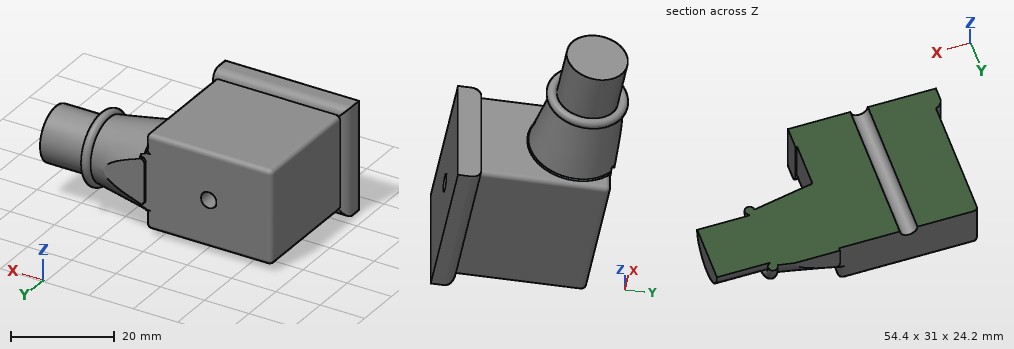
import cadquery as cq
import math

plate_length = 30.2
plate_width = 24.2
plate_thickness = 4.6
plate_edge_radius = 2.0

housing_left = 1.5
housing_right = 29.85
housing_width = 21.0
housing_back = 30.0
housing_edge_radius = 1.0
housing_center_x = (housing_left + housing_right) / 2

screw_hole_diameter = 3.5

outlet_axis_y = 23.0
outlet_end = 54.4
skirt_radius = 9.4
tube_radius = 6.0
bead_radius = 1.0
neck_start = plate_length
neck_start_radius = 9.2
neck_end_radius = tube_radius + bead_radius
bead_left = 42.35
bead_right = bead_left + 2 * bead_radius
bead_center_x = bead_left + bead_radius
full_turn = 360
outlet_root = housing_right - housing_edge_radius

flat_height = 7.6
flat_y = outlet_axis_y + flat_height
flat_half_width = math.sqrt(neck_start_radius**2 - flat_height**2)
flat_corner_radius = 1.1
cutter_height = 5.0


def box_between(x_range, y_range, width):
    """Box spanning the given X and Y ranges, centred on Z = 0."""
    x_size = x_range[1] - x_range[0]
    y_size = y_range[1] - y_range[0]
    box = cq.Workplane("XY").box(x_size, y_size, width, centered=(False, False, True))
    return box.translate((x_range[0], y_range[0], 0))


def make_plate():
    """Plate whose inner rim is rounded on every side but the outlet side."""
    plate = box_between((0, plate_length), (0, plate_thickness), plate_width)
    inner_rim = plate.faces(">Y").edges("<X or >Z or <Z")
    return inner_rim.fillet(plate_edge_radius)


def make_housing():
    """Block with rounded long edges and a rounded back rim."""
    housing = box_between((housing_left, housing_right), (0, housing_back), housing_width)
    return housing.edges("|Y or >Y").fillet(housing_edge_radius)


def make_outlet():
    """Tapered neck, ring bead tangent to the tube, and plain tube in one revolved profile."""
    profile = (
        cq.Workplane("XY")
        .moveTo(outlet_root, 0)
        .lineTo(outlet_root, skirt_radius)
        .lineTo(housing_right, skirt_radius)
        .lineTo(neck_start, neck_start_radius)
        .lineTo(bead_left, neck_end_radius)
        .radiusArc((bead_center_x, neck_end_radius + bead_radius), bead_radius)
        .threePointArc((bead_right, neck_end_radius), (bead_center_x, tube_radius))
        .lineTo(outlet_end, tube_radius)
        .lineTo(outlet_end, 0)
        .close()
    )
    outlet = profile.revolve(full_turn, (0, 0, 0), (1, 0, 0))
    return outlet.translate((0, outlet_axis_y, 0))


def make_flat_cutter():
    """Material above the flat, from the outlet root up to the bead."""
    return box_between((outlet_root, bead_left), (flat_y, flat_y + cutter_height), plate_width)


def make_flat_end_cutter():
    """Material behind the housing that lies outside the rounded end of the flat."""
    round_end = housing_right + flat_corner_radius
    y_range = (housing_back, flat_y + cutter_height)
    surround = box_between((outlet_root, round_end), y_range, plate_width)
    kept_end = box_between((housing_right, outlet_end), y_range, 2 * flat_half_width)
    kept_end = kept_end.edges("|Y and <X").fillet(flat_corner_radius)
    return surround.cut(kept_end)


def make_screw_hole():
    """Round hole along Y through the middle of the housing."""
    section = cq.Workplane("XZ").center(housing_center_x, 0).circle(screw_hole_diameter / 2)
    return section.extrude(-housing_back)


outlet = make_outlet().cut(make_flat_cutter()).cut(make_flat_end_cutter())
result = make_plate().union(make_housing()).union(outlet).cut(make_screw_hole())